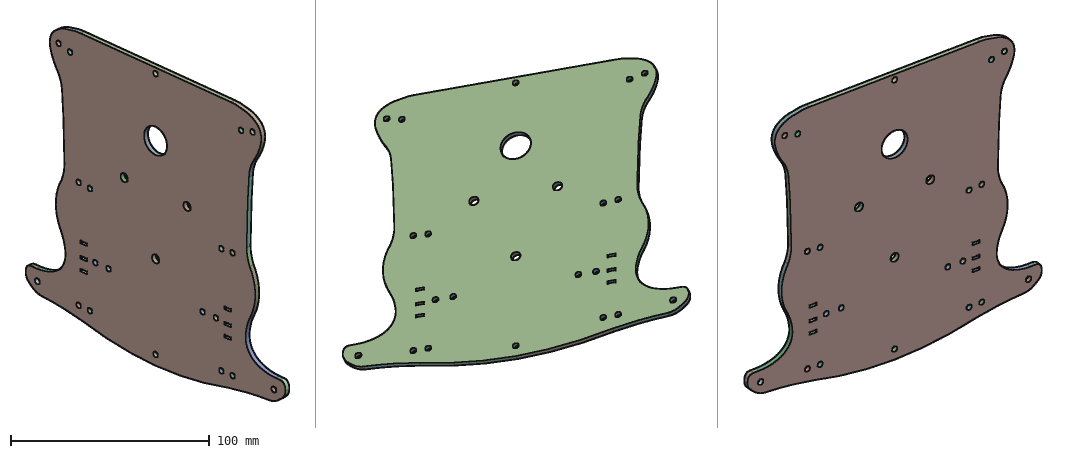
import cadquery as cq

height = 170.0
half_width = 91.2
thickness = 3.0

bottom_center = (0, 0)
belly_end = (51.0, 6.4)
foot_start = (80.3, 10.0)
foot_tip = (half_width, 19.7)
foot_top = (87.2, 24.5)
neck_start = (84.0, 24.5)
hip_start = (66.8, 52.9)
hip_end = (66.0, 81.4)
waist = (64.0, 91.2)
side_top = (65.7, 132.3)
shoulder_start = (69.7, 143.7)
top_edge_end = (52.7, height)

screw_diameter = 3.1
foot_hole_diameter = 3.3
mount_diameter = 5.0
window_diameter = 16.0

window_z = 128.2
center_mount_z = 61.0
center_screw_heights = [6.4, 166.5]
mount_pair = (22.0, 99.0)
foot_hole = (83.0, 17.3)
screw_pairs = [
    (68.0, 158.5), (60.0, 156.5),
    (54.0, 84.5), (46.2, 84.0),
    (42.3, 43.0), (33.0, 43.0),
    (54.0, 14.5), (46.2, 14.2),
]

slot_length = 4.4
slot_height = 1.5
slot_x = 50.5
slot_heights = [35.0, 42.3, 51.0]


def half_plate():
    """Right half of the plate, centered on Y = 0."""
    outline = (
        cq.Workplane("XZ", origin=(0, thickness / 2, 0))
        .moveTo(*bottom_center)
        .threePointArc((25.5, 1.6), belly_end)
        .spline([(65.7, 8.8), foot_start], includeCurrent=True)
        .spline([(88.1, 13.9), foot_tip], tangents=[(1, 0.1), (0, 1)], includeCurrent=True)
        .spline([foot_top], tangents=[(0, 1), (-1, 0)], includeCurrent=True)
        .lineTo(*neck_start)
        .spline(
            [(76.6, 25.4), (69.9, 28.1), (65.7, 32.1), (63.3, 39.2), (64.2, 46.3), hip_start],
            tangents=[(-1, 0), (0.5, 1)],
            includeCurrent=True,
        )
        .threePointArc((70.0, 67.1), hip_end)
        .spline([waist], tangents=[(-0.4, 1), (0, 1)], includeCurrent=True)
        .spline([(64.5, 113.1), side_top], tangents=[(0, 1), (0.1, 1)], includeCurrent=True)
        .spline([(67.0, 138.6), shoulder_start], includeCurrent=True)
        .spline(
            [
                (73.5, 152.3), (74.2, 157.8), (72.0, 163.5), (67.9, 166.7),
                (63.8, 168.4), (58.4, 169.5), top_edge_end,
            ],
            tangents=[(0.6, 1), (-1, 0)],
            includeCurrent=True,
        )
        .lineTo(0, height)
        .close()
    )
    return outline.extrude(thickness)


def mirrored(points):
    """Points on both sides of the center line."""
    return [(side * x, z) for x, z in points for side in (-1, 1)]


def face_points(points):
    """Workplane on the back face with the given points selected."""
    return cq.Workplane("XZ", origin=(0, thickness / 2, 0)).pushPoints(points)


def pins(points, diameter):
    """Cylinders through the plate thickness."""
    return face_points(points).circle(diameter / 2).extrude(thickness)


right_half = half_plate()
plate = right_half.union(right_half.mirror("YZ")).clean()

center_screws = [(0, z) for z in center_screw_heights]
plate = plate.cut(pins(center_screws + mirrored(screw_pairs), screw_diameter))
plate = plate.cut(pins(mirrored([foot_hole]), foot_hole_diameter))
plate = plate.cut(pins([(0, center_mount_z)] + mirrored([mount_pair]), mount_diameter))
plate = plate.cut(pins([(0, window_z)], window_diameter))

slot_centers = mirrored([(slot_x, z) for z in slot_heights])
plate = plate.cut(face_points(slot_centers).rect(slot_length, slot_height).extrude(thickness))

result = plate